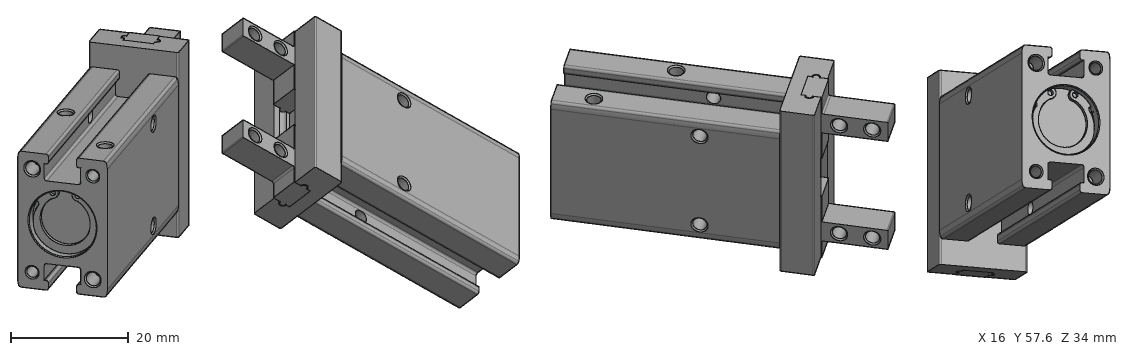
import cadquery as cq
import math

LENGTH = 57.6
WIDTH = 16.0
FLANGE_HEIGHT = 34.0
BACK_Y = -LENGTH / 2
TIP_Y = LENGTH / 2
CUT_MARGIN = 0.6
PICK_REACH = 0.05

BODY_HEIGHT = 25.0
FLANGE_BACK_Y = 11.05
FLANGE_FRONT_Y = 17.1
FLANGE_BACK_ROUND = 0.35
FLANGE_FRONT_ROUND = 0.25
CROWN_DROP = 1.45
CROWN_INSET = 0.145
CORNER_DROP = 0.4

SLOT_THROAT = 5.0
SLOT_WIDTH = 6.5
SLOT_DEPTH = 4.9
SLOT_LIP = 1.8
SLOT_LIP_ROUND = 0.45
SLOT_FLOOR_ROUND = 0.45

BORE_DIAMETER = 12.0
BORE_CHAMFER = 0.2
BORE_DEPTH = 2.25
RING_FRONT_DEPTH = 1.5
RING_THICKNESS = BORE_DEPTH - RING_FRONT_DEPTH
RING_OPENING_DIAMETER = 8.9
EAR_DIAMETER = 2.0
EAR_HOLE_DIAMETER = 1.0
EAR_X = 2.25
EAR_Z = 4.9
RELIEF_RADIUS = 5.7
RELIEF_CENTER_Z = -0.7
RELIEF_END_DIAMETER = 1.0
RELIEF_END_X = 5.2
RELIEF_END_Z = 2.6
RELIEF_TOP_Z = 2.2

LARGE_HOLE_DIAMETER = 2.5
SMALL_HOLE_DIAMETER = 2.0
LARGE_HOLE_MOUTH = 3.0
SMALL_HOLE_MOUTH = 2.5
BACK_HOLE_X = 5.4
BACK_HOLE_Z = 9.5
BACK_HOLE_DEPTH = 4.6
PORT_X = 5.4
PORT_DEPTH = 2.9
FRONT_PORT_Y = -9.85
REAR_PORT_Y = -21.85
SIDE_HOLE_Y = -2.9
SIDE_HOLE_Z = 9.4

JAW_WIDTH = 5.4
JAW_BACK_Y = 13.65
JAW_BASE_FRONT_Y = 17.3
JAW_BASE_INNER_Z = 4.05
ARM_INNER_Z = 9.45
ARM_HEIGHT = 4.05
ARM_ROOT_ROUND = 0.35
ARM_TIP_ROUND = 0.2
RAIL_Y = 15.1
RAIL_RADIUS = 0.6
GROOVE_RADIUS = 0.75
JAW_HOLE_Y = (20.3, 26.05)


def y_cylinder(diameter, x, z, start_y, length):
    """Cylinder along +Y from start_y."""
    return cq.Workplane(cq.Solid.makeCylinder(
        diameter / 2, length, cq.Vector(x, start_y, z), cq.Vector(0, 1, 0)))


def chamfered_hole(mouth, direction, diameter, mouth_diameter, depth):
    """Cutter for a hole that starts at the point `mouth` with a 45 degree chamfer."""
    origin = cq.Vector(*mouth)
    axis = cq.Vector(*direction)
    chamfer = (mouth_diameter - diameter) / 2
    bore = cq.Solid.makeCylinder(diameter / 2, depth, origin, axis)
    cone = cq.Solid.makeCone(mouth_diameter / 2, diameter / 2, chamfer, origin, axis)
    return cq.Workplane(bore.fuse(cone))


def through_hole_x(half_width, y, z):
    """Cutter for a hole right through along X, chamfered at both ends."""
    near = chamfered_hole(
        (-half_width, y, z), (1, 0, 0), LARGE_HOLE_DIAMETER, LARGE_HOLE_MOUTH, 2 * half_width)
    far = chamfered_hole(
        (half_width, y, z), (-1, 0, 0), LARGE_HOLE_DIAMETER, LARGE_HOLE_MOUTH, 2 * half_width)
    return near.union(far)


def edge_centered_at(x, y, z):
    """Selector for the one straight edge whose middle is at the given point."""
    return cq.selectors.BoxSelector(
        (x - PICK_REACH, y - PICK_REACH, z - PICK_REACH),
        (x + PICK_REACH, y + PICK_REACH, z + PICK_REACH))


def body_extrusion():
    """Body with gently crowned sides and rounded corners, extruded along Y."""
    side_x = WIDTH / 2
    crown_x = side_x - CROWN_INSET
    top_z = BODY_HEIGHT / 2
    side_z = top_z - CROWN_DROP
    crown_z = top_z - CORNER_DROP
    crown_lean = 2 * math.atan2(CROWN_INSET, CROWN_DROP - CORNER_DROP)
    corner_radius = CORNER_DROP / (1 - math.sin(crown_lean))
    flat_x = crown_x - corner_radius * math.cos(crown_lean)
    right_half = (
        cq.Workplane("XZ", origin=(0, FLANGE_BACK_Y, 0))
        .moveTo(0, 0)
        .lineTo(side_x, 0)
        .lineTo(side_x, side_z)
        .tangentArcPoint((crown_x, crown_z), relative=False)
        .tangentArcPoint((flat_x, top_z), relative=False)
        .lineTo(0, top_z)
        .close()
        .extrude(FLANGE_BACK_Y - BACK_Y)
    )
    top_half = right_half.union(right_half.mirror("YZ"))
    return top_half.union(top_half.mirror("XY"))


def flange():
    """Tall end block that carries the jaws."""
    thickness = FLANGE_FRONT_Y - FLANGE_BACK_Y
    block = cq.Workplane("XY").box(WIDTH, thickness, FLANGE_HEIGHT)
    block = block.edges("|Z and <Y").fillet(FLANGE_BACK_ROUND)
    block = block.edges("|Z and >Y").fillet(FLANGE_FRONT_ROUND)
    return block.translate((0, FLANGE_BACK_Y + thickness / 2, 0))


def t_slot():
    """Cutter for the T-slot in the top of the body."""
    top_z = BODY_HEIGHT / 2
    length = FLANGE_BACK_Y - BACK_Y
    undercut_height = SLOT_DEPTH - SLOT_LIP
    middle_y = (FLANGE_BACK_Y + BACK_Y) / 2
    throat = cq.Workplane("XY").box(SLOT_THROAT, length, SLOT_LIP, centered=(True, True, False))
    throat = throat.translate((0, middle_y, top_z - SLOT_LIP))
    undercut = (
        cq.Workplane("XY")
        .box(SLOT_WIDTH, length, undercut_height, centered=(True, True, False))
        .edges("|Y and <Z")
        .fillet(SLOT_FLOOR_ROUND)
        .translate((0, middle_y, top_z - SLOT_DEPTH))
    )
    return throat.union(undercut)


def round_slot_lips(body):
    """Round all the lip edges of both T-slot throats."""
    top_z = BODY_HEIGHT / 2
    middle_y = (FLANGE_BACK_Y + BACK_Y) / 2
    for side in (1, -1):
        for end in (1, -1):
            for height in (top_z, top_z - SLOT_LIP):
                x = side * SLOT_THROAT / 2
                z = end * height
                body = body.edges(edge_centered_at(x, middle_y, z)).fillet(SLOT_LIP_ROUND)
    return body


def bore_recess():
    """Cutter for the bore mouth, down to the end plug behind the retaining ring."""
    return chamfered_hole(
        (0, BACK_Y, 0), (0, 1, 0), BORE_DIAMETER, BORE_DIAMETER + 2 * BORE_CHAMFER, BORE_DEPTH)


def ring_relief():
    """Crescent gaps between the retaining ring and the bore wall, one on each side."""
    start_y = BACK_Y + RING_FRONT_DEPTH
    bore = y_cylinder(BORE_DIAMETER, 0, 0, start_y, RING_THICKNESS)
    eccentric = y_cylinder(2 * RELIEF_RADIUS, 0, RELIEF_CENTER_Z, start_y, RING_THICKNESS)
    below_ends = cq.Workplane("XY").box(WIDTH, BODY_HEIGHT, BODY_HEIGHT)
    below_ends = below_ends.translate((0, start_y, RELIEF_TOP_Z - BODY_HEIGHT / 2))
    relief = bore.cut(eccentric).intersect(below_ends)
    for side in (1, -1):
        end = y_cylinder(RELIEF_END_DIAMETER, side * RELIEF_END_X, RELIEF_END_Z, start_y, RING_THICKNESS)
        relief = relief.union(end.intersect(bore))
    return relief


def retaining_ring():
    """Open ring with two eared, drilled ends, seated on the end plug."""
    start_y = BACK_Y + RING_FRONT_DEPTH
    bore = y_cylinder(BORE_DIAMETER, 0, 0, start_y, RING_THICKNESS)
    opening = y_cylinder(RING_OPENING_DIAMETER, 0, 0, start_y, RING_THICKNESS)
    gap = (
        cq.Workplane("XZ", origin=(0, start_y, 0))
        .polyline([(0, 0), (2 * EAR_X, 2 * EAR_Z), (-2 * EAR_X, 2 * EAR_Z)])
        .close()
        .extrude(-RING_THICKNESS)
    )
    ring = bore.cut(opening).cut(gap)
    for side in (1, -1):
        ear = y_cylinder(EAR_DIAMETER, side * EAR_X, EAR_Z, start_y, RING_THICKNESS)
        ring = ring.union(ear.intersect(bore))
    for side in (1, -1):
        ring = ring.cut(y_cylinder(EAR_HOLE_DIAMETER, side * EAR_X, EAR_Z, start_y, RING_THICKNESS))
    return ring.cut(ring_relief())


def back_holes():
    """Cutters for the four holes in the back face; equal sizes sit on opposite corners."""
    cutters = []
    for side in (1, -1):
        large_mouth = (-side * BACK_HOLE_X, BACK_Y, side * BACK_HOLE_Z)
        small_mouth = (side * BACK_HOLE_X, BACK_Y, side * BACK_HOLE_Z)
        cutters.append(chamfered_hole(
            large_mouth, (0, 1, 0), LARGE_HOLE_DIAMETER, LARGE_HOLE_MOUTH, BACK_HOLE_DEPTH))
        cutters.append(chamfered_hole(
            small_mouth, (0, 1, 0), SMALL_HOLE_DIAMETER, SMALL_HOLE_MOUTH, BACK_HOLE_DEPTH))
    return cutters


def port_holes():
    """Cutters for the two air ports in the top of the body."""
    mouths = ((-PORT_X, FRONT_PORT_Y, BODY_HEIGHT / 2), (PORT_X, REAR_PORT_Y, BODY_HEIGHT / 2))
    return [
        chamfered_hole(mouth, (0, 0, -1), LARGE_HOLE_DIAMETER, LARGE_HOLE_MOUTH, PORT_DEPTH)
        for mouth in mouths
    ]


def guide(rail_radius, front_y, bottom_z, top_z):
    """Upright block of the jaw's width with a half-round rail along each side."""
    depth = front_y - JAW_BACK_Y
    height = top_z - bottom_z
    block = cq.Workplane("XY").box(JAW_WIDTH, depth, height, centered=(True, False, False))
    block = block.translate((0, JAW_BACK_Y, bottom_z))
    rails = (
        cq.Workplane("XY", origin=(0, 0, bottom_z))
        .pushPoints([(-JAW_WIDTH / 2, RAIL_Y), (JAW_WIDTH / 2, RAIL_Y)])
        .circle(rail_radius)
        .extrude(height)
    )
    return block.union(rails)


def make_housing():
    """Body, flange and retaining ring as one solid."""
    body = body_extrusion().cut(t_slot()).cut(t_slot().mirror("XY"))
    body = round_slot_lips(body)
    body = body.cut(bore_recess()).union(retaining_ring())
    for cutter in back_holes() + port_holes():
        body = body.cut(cutter)
    for z in (SIDE_HOLE_Z, -SIDE_HOLE_Z):
        body = body.cut(through_hole_x(WIDTH / 2, SIDE_HOLE_Y, z))
    jaw_guide = guide(
        GROOVE_RADIUS, FLANGE_FRONT_Y + CUT_MARGIN, -FLANGE_HEIGHT / 2, FLANGE_HEIGHT / 2)
    return body.union(flange().cut(jaw_guide))


def make_jaw(side):
    """L-shaped jaw: a guided base in the flange and an arm reaching to the tip."""
    base = guide(RAIL_RADIUS, JAW_BASE_FRONT_Y, JAW_BASE_INNER_Z, FLANGE_HEIGHT / 2)
    arm_length = TIP_Y - JAW_BASE_FRONT_Y
    arm = (
        cq.Workplane("XY")
        .box(JAW_WIDTH, arm_length, ARM_HEIGHT, centered=(True, False, False))
        .edges("|X and >Y")
        .fillet(ARM_TIP_ROUND)
        .translate((0, JAW_BASE_FRONT_Y, ARM_INNER_Z))
    )
    jaw = base.union(arm)
    root_z = ARM_INNER_Z + ARM_HEIGHT
    root_edge = edge_centered_at(0, JAW_BASE_FRONT_Y, root_z)
    jaw = jaw.edges(root_edge).fillet(ARM_ROOT_ROUND)
    for y in JAW_HOLE_Y:
        jaw = jaw.cut(through_hole_x(JAW_WIDTH / 2, y, ARM_INNER_Z + ARM_HEIGHT / 2))
    if side < 0:
        jaw = jaw.mirror("XY")
    return jaw


housing = make_housing()
jaws = [make_jaw(side) for side in (1, -1)]

result = cq.Compound.makeCompound([housing.val(), *[jaw.val() for jaw in jaws]])